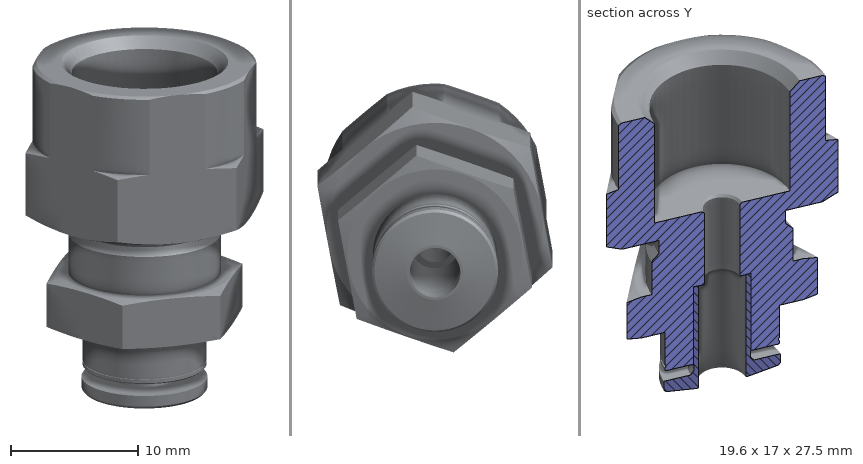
import cadquery as cq
import math

TOTAL_HEIGHT = 27.5
BUTTON_EDGE_LOW = 0.38
BUTTON_EDGE_HIGH = 0.6
BUTTON_TOP = 1.48
FLARE_HEIGHT = 0.35
SLEEVE_BOTTOM = 2.42
GROOVE_BOTTOM = 2.8
GROOVE_TOP = 2.97
SMALL_HEX_BOTTOM = 6.15
SMALL_HEX_TOP = 10.18
BARREL_TOP = 13.36
LARGE_HEX_BOTTOM = 15.2
SHOULDER_HEIGHT = 21.12
BORE_FLOOR = 17.05
SOCKET_TOP = 9.9

LARGE_HEX_FLATS = 17.0
SMALL_HEX_FLATS = 14.0
HEX_FACE_ANGLE = 10.0
LARGE_HEX_BOTTOM_ANGLE = 24.0
SMALL_HEX_FACE_DIAMETER = 13.75
SMALL_HEX_ENVELOPE_RADIUS = 8.4

COLLAR_DIAMETER = 17.6
COLLAR_TOP_DIAMETER = 17.0
COLLAR_CHAMFER_HEIGHT = 0.16
NECK_DIAMETER = 10.78
BARREL_DIAMETER = 12.0
SLEEVE_DIAMETER = 9.75
SLEEVE_CHAMFER = 0.1
GROOVE_DEPTH = 0.08
BORE_DIAMETER = 11.45
BORE_MOUTH_DIAMETER = 13.15
PASSAGE_DIAMETER = 3.0
PASSAGE_CHAMFER = 0.2

BUTTON_DIAMETER = 9.9
BUTTON_EDGE_RADIAL = 0.2
BUTTON_FACE_DIAMETER = 4.4
STEM_DIAMETER = 4.8
FLARE_RADIAL = 0.28
TUBE_DIAMETER = 4.0


def revolved(points):
    """Revolve a closed (radius, height) outline about the Z axis."""
    return cq.Workplane("XZ").polyline(points).close().revolve(360, (0, 0), (0, 1))


def hexagon(across_flats, bottom, top):
    """Hexagonal prism with its corners on the X axis."""
    across_corners = across_flats / math.cos(math.pi / 6)
    prism = cq.Workplane("XY").workplane(offset=bottom).polygon(6, across_corners)
    return prism.extrude(top - bottom)


def rise(radial_distance, angle):
    """Height gained over a radial distance by a face at the given angle."""
    return radial_distance * math.tan(math.radians(angle))


def make_large_hex():
    """Large hexagon, turned to a collar above its sloped shoulder."""
    prism = hexagon(LARGE_HEX_FLATS, LARGE_HEX_BOTTOM, TOTAL_HEIGHT)
    outer = LARGE_HEX_FLATS
    collar = COLLAR_DIAMETER / 2
    face = LARGE_HEX_FLATS / 2
    envelope = revolved([
        (0, LARGE_HEX_BOTTOM),
        (face, LARGE_HEX_BOTTOM),
        (outer, LARGE_HEX_BOTTOM + rise(outer - face, LARGE_HEX_BOTTOM_ANGLE)),
        (outer, SHOULDER_HEIGHT - rise(outer - collar, HEX_FACE_ANGLE)),
        (collar, SHOULDER_HEIGHT),
        (collar, TOTAL_HEIGHT - COLLAR_CHAMFER_HEIGHT),
        (COLLAR_TOP_DIAMETER / 2, TOTAL_HEIGHT),
        (0, TOTAL_HEIGHT),
    ])
    return prism.intersect(envelope)


def make_small_hex():
    """Small hexagon with both ends sloped towards the corners."""
    prism = hexagon(SMALL_HEX_FLATS, SMALL_HEX_BOTTOM, SMALL_HEX_TOP)
    outer = SMALL_HEX_ENVELOPE_RADIUS
    face = SMALL_HEX_FACE_DIAMETER / 2
    slope = rise(outer - face, HEX_FACE_ANGLE)
    envelope = revolved([
        (0, SMALL_HEX_BOTTOM),
        (face, SMALL_HEX_BOTTOM),
        (outer, SMALL_HEX_BOTTOM + slope),
        (outer, SMALL_HEX_TOP - slope),
        (face, SMALL_HEX_TOP),
        (0, SMALL_HEX_TOP),
    ])
    return prism.intersect(envelope)


def make_round_body():
    """Sleeve, barrel and neck that join the two hexagons."""
    sleeve = SLEEVE_DIAMETER / 2
    barrel = BARREL_DIAMETER / 2
    neck = NECK_DIAMETER / 2
    return revolved([
        (0, SLEEVE_BOTTOM),
        (sleeve - SLEEVE_CHAMFER, SLEEVE_BOTTOM),
        (sleeve, SLEEVE_BOTTOM + SLEEVE_CHAMFER),
        (sleeve, GROOVE_BOTTOM),
        (sleeve - GROOVE_DEPTH, GROOVE_BOTTOM),
        (sleeve - GROOVE_DEPTH, GROOVE_TOP),
        (sleeve, GROOVE_TOP),
        (sleeve, SMALL_HEX_BOTTOM),
        (barrel, SMALL_HEX_BOTTOM),
        (barrel, BARREL_TOP),
        (neck, BARREL_TOP + barrel - neck),
        (neck, LARGE_HEX_BOTTOM),
        (0, LARGE_HEX_BOTTOM),
    ])


def make_housing_cavity():
    """Stem socket, narrow passage and countersunk upper bore."""
    socket = STEM_DIAMETER / 2
    passage = PASSAGE_DIAMETER / 2
    bore = BORE_DIAMETER / 2
    mouth = BORE_MOUTH_DIAMETER / 2
    return revolved([
        (0, SLEEVE_BOTTOM),
        (socket, SLEEVE_BOTTOM),
        (socket, SOCKET_TOP),
        (passage, SOCKET_TOP),
        (passage, BORE_FLOOR - PASSAGE_CHAMFER),
        (passage + PASSAGE_CHAMFER, BORE_FLOOR),
        (bore, BORE_FLOOR),
        (bore, TOTAL_HEIGHT - (mouth - bore)),
        (mouth, TOTAL_HEIGHT),
        (0, TOTAL_HEIGHT),
    ])


def make_housing():
    solid = make_large_hex().union(make_round_body()).union(make_small_hex())
    return solid.cut(make_housing_cavity())


def make_release_button():
    """Hollow stem with a flanged push face, seated in the housing socket."""
    tube = TUBE_DIAMETER / 2
    stem = STEM_DIAMETER / 2
    flange = BUTTON_DIAMETER / 2
    return revolved([
        (tube, 0),
        (BUTTON_FACE_DIAMETER / 2, 0),
        (flange - BUTTON_EDGE_RADIAL, BUTTON_EDGE_LOW),
        (flange, BUTTON_EDGE_HIGH),
        (flange, BUTTON_TOP),
        (stem + FLARE_RADIAL, BUTTON_TOP),
        (stem, BUTTON_TOP + FLARE_HEIGHT),
        (stem, SOCKET_TOP),
        (tube, SOCKET_TOP),
    ])


housing = make_housing()
release_button = make_release_button()
result = cq.Compound.makeCompound([housing.val(), release_button.val()])